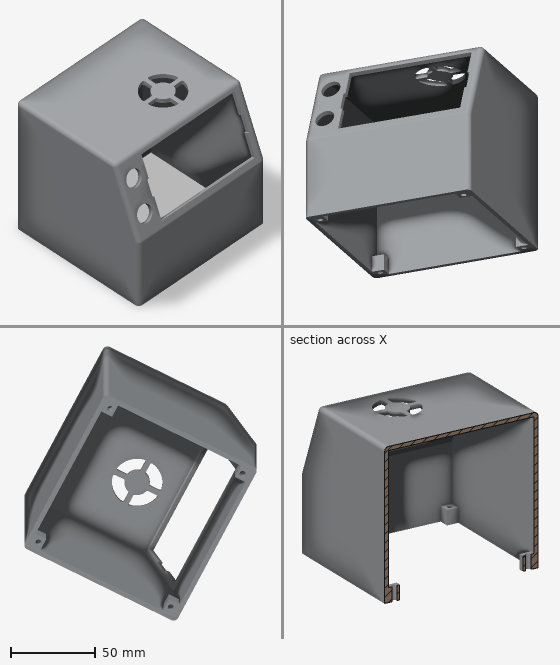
import cadquery as cq
import math

length = 102.0
width = 107.0
height = 100.0
wall = 3.0
edge_radius = 3.0

panel_top_x = 82.0
panel_bottom_z = 50.0
panel_run = length - panel_top_x
panel_drop = height - panel_bottom_z
panel_length = math.hypot(panel_run, panel_drop)

window_length_y = 79.0
window_center_y = 7.1
window_height = 45.3
window_offset_up = 0.2
notch_height = 12.2
notch_depth = 1.3

button_diameter = 12.1
button_spacing = 24.0
button_y = -42.8

fan_x = 56.0
fan_y = 14.0
fan_diameter = 30.0
fan_hub_diameter = 15.0
fan_spoke_width = 3.1
fan_corner_radius = 1.0

boss_length = 7.2
boss_width = 7.8
boss_hole_inset = 4.0
boss_height = 10.0
boss_hole_diameter = 3.4


def wedge_profile(inset):
    """Side outline moved inward by inset on every side except the open bottom."""
    slope = panel_run / panel_drop
    slope_shift = inset * panel_length / panel_drop
    top_z = height - inset
    right_x = length - inset
    top_x = panel_top_x + slope * inset - slope_shift
    shoulder_z = height - (right_x + slope_shift - panel_top_x) / slope
    return [(inset, 0), (right_x, 0), (right_x, shoulder_z), (top_x, top_z), (inset, top_z)]


def wedge(inset):
    half_width = width / 2 - inset
    return cq.Workplane("XZ").polyline(wedge_profile(inset)).close().extrude(half_width, both=True)


def shell():
    outer = wedge(0).edges("not <Z").fillet(edge_radius)
    return outer.cut(wedge(wall))


def corner_points(inset_x, inset_y):
    """One point per inside corner of the walls, set in from both walls."""
    x_reach = length / 2 - wall - inset_x
    y_reach = width / 2 - wall - inset_y
    return [(length / 2 + sx * x_reach, sy * y_reach) for sx in (-1, 1) for sy in (-1, 1)]


def corner_bosses():
    """A drilled block in each bottom corner, seated against both walls."""
    blocks = cq.Workplane("XY").pushPoints(corner_points(boss_length / 2, boss_width / 2))
    blocks = blocks.rect(boss_length, boss_width).extrude(boss_height)
    holes = cq.Workplane("XY").pushPoints(corner_points(boss_hole_inset, boss_hole_inset))
    holes = holes.circle(boss_hole_diameter / 2).extrude(boss_height)
    return blocks.cut(holes)


def panel_cutter():
    """Window, notches and button holes; local x is along Y and local y points up the slope."""
    panel = cq.Plane(
        origin=(panel_top_x + panel_run / 2, 0, panel_bottom_z + panel_drop / 2),
        xDir=(0, 1, 0),
        normal=(panel_drop, 0, panel_run),
    )
    window = cq.Workplane(panel).center(window_center_y, window_offset_up)
    window = window.rect(window_length_y, window_height).extrude(wall, both=True)
    notches = cq.Workplane(panel).center(window_center_y, window_offset_up)
    notches = notches.rect(window_length_y + 2 * notch_depth, notch_height).extrude(wall, both=True)
    buttons = cq.Workplane(panel).pushPoints([(button_y, side * button_spacing / 2) for side in (-1, 1)])
    buttons = buttons.circle(button_diameter / 2).extrude(wall, both=True)
    return window.union(notches).union(buttons)


def fan_cutter():
    top = cq.Workplane("XY", origin=(fan_x, fan_y, height - wall))
    ring = top.circle(fan_diameter / 2).circle(fan_hub_diameter / 2).extrude(wall)
    spokes = top.rect(fan_diameter, fan_spoke_width).extrude(wall)
    spokes = spokes.union(top.rect(fan_spoke_width, fan_diameter).extrude(wall))
    return ring.cut(spokes).edges("|Z").fillet(fan_corner_radius)


result = shell().union(corner_bosses()).cut(panel_cutter()).cut(fan_cutter())